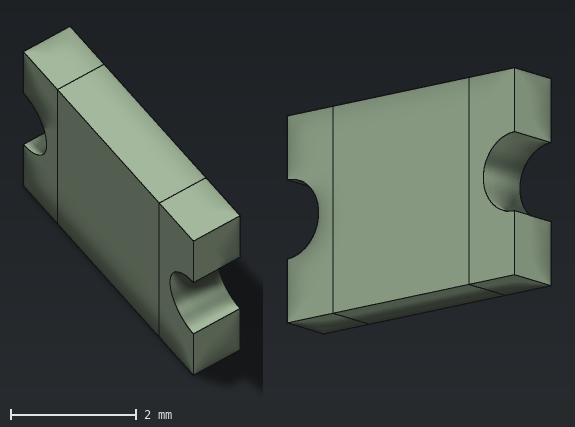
import cadquery as cq

length = 4.73
thickness = 0.91
height = 3.41

terminal_length = 0.95
notch_radius = 0.65

body_length = length - 2 * terminal_length


def make_body():
    """Plain rectangular block between the two terminals."""
    return cq.Workplane("XY").box(body_length, thickness, height)


def make_terminal(side):
    """End cap with a half-round notch through its outer face; side is -1 or +1 along X."""
    center_x = side * (body_length + terminal_length) / 2
    outer_x = side * length / 2
    block = cq.Workplane("XY").box(terminal_length, thickness, height).translate((center_x, 0, 0))
    notch = (
        cq.Workplane("XZ")
        .center(outer_x, 0)
        .circle(notch_radius)
        .extrude(thickness, both=True)
    )
    return block.cut(notch)


body = make_body()
terminals = [make_terminal(side) for side in (-1, 1)]

result = cq.Compound.makeCompound([body.val(), *[terminal.val() for terminal in terminals]])